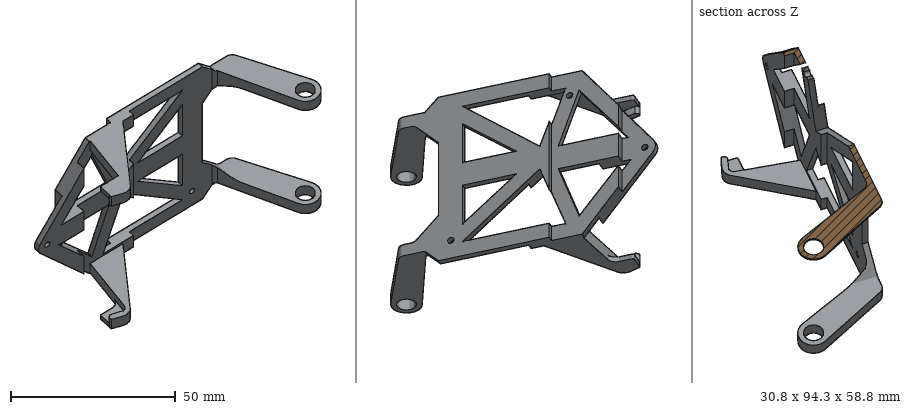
import cadquery as cq
import math

length = 94.3
half_width = 58.8 / 2

sheet = 2.0
nose_back = 5.2
nose_front = 7.2
lower_step = (32.6, 40.1)
nose_step = (10.8, 17.9)

shoulder_y = 68.8
rear_inner_z = 13.1
strut_root_y = 22.6
nose_radius = 3.5
nose_center = (nose_radius, -0.8)
pin_hole_d = 2.0
pin_holes = [nose_center, (26.8, 21.4), (64.8, -23.0)]

lug_inner_z = 20.9
lug_outer_z = 25.0
eye_d = 6.0
eye_radius = 4.8
eye_center = (30.8 - eye_radius, length - eye_radius)
lug_heel_y = 81.7
lug_heel_fillet = 2.8
lug_root_y = 72.5
lug_root_corner = (2.9, 74.0)
gusset_fillet = 2.8

rail_z = 24.3
spine_half = 4.1
window_rear_y = 60.9
rail_window_front_y = 28.1
rail_window_apex_y = 35.7
rear_window_top_z = 18.0
rear_window_tip_y = 43.4
nose_window_apex = (23.7, 22.6)
nose_window_rear_y = 30.5
upper_nose_tip_y = 9.0
lower_nose_tip_y = 8.0

hook_height = 4.2
lip_thickness = 1.7
hook_end_y = 13.2
hook_end_x = 25.9
hook_root_rear_y = 35.9
hook_root_front_y = 23.0
hook_back_arc = [(27.2, 16.9), (27.2, 19.0), (26.3, 20.4)]
finger_hollow_arc = [(24.5, 19.7), (25.4, 18.6), (25.1, 17.2)]
finger_tip_arc = [(24.2, 14.1), (24.8, 13.3), (hook_end_x, hook_end_y)]
hook_under = (20.6, 20.4)
lip_fillet = 2.9
lip_tip_fillet = 0.4


def tangent_point(point, center, radius, side):
    """Tangent point on a circle seen from an outside point; side is +1 or -1."""
    dx = point[0] - center[0]
    dy = point[1] - center[1]
    angle = math.atan2(dy, dx) + side * math.acos(radius / math.hypot(dx, dy))
    return (center[0] + radius * math.cos(angle), center[1] + radius * math.sin(angle))


def block(x_range, y_range):
    """Full-width block between two X and two Y limits."""
    return (
        cq.Workplane("XY", origin=(0, 0, -half_width))
        .moveTo(x_range[0], y_range[0])
        .lineTo(x_range[1], y_range[0])
        .lineTo(x_range[1], y_range[1])
        .lineTo(x_range[0], y_range[1])
        .close()
        .extrude(2 * half_width)
    )


def lug_profile():
    """Full-width extrusion of the slanted lug, before its width is trimmed."""
    heel = (0, lug_heel_y)
    upper = tangent_point(heel, eye_center, eye_radius, -1)
    lower = tangent_point(lug_root_corner, eye_center, eye_radius, 1)
    axis_angle = math.atan2(eye_center[1] - lug_heel_y, eye_center[0])
    crown = (
        eye_center[0] + eye_radius * math.cos(axis_angle),
        eye_center[1] + eye_radius * math.sin(axis_angle),
    )
    lug = (
        cq.Workplane("XY", origin=(0, 0, -half_width))
        .moveTo(0, lug_root_y)
        .lineTo(*heel)
        .lineTo(*upper)
        .threePointArc(crown, lower)
        .lineTo(*lug_root_corner)
        .lineTo(sheet, lug_root_y)
        .close()
        .extrude(2 * half_width)
    )
    heel_edge = cq.selectors.NearestToPointSelector((*heel, 0))
    lug = lug.edges(heel_edge).fillet(lug_heel_fillet)
    eye = (
        cq.Workplane("XY", origin=(*eye_center, -half_width))
        .circle(eye_d / 2)
        .extrude(2 * half_width)
    )
    return lug.cut(eye)


def outline_prism():
    """Outline of plate and lugs in YZ, extruded over the whole depth in X."""
    upper_root = (strut_root_y, half_width)
    lower_root = (strut_root_y, -half_width)
    upper_nose = tangent_point(upper_root, nose_center, nose_radius, 1)
    lower_nose = tangent_point(lower_root, nose_center, nose_radius, -1)
    shoulder_end_y = shoulder_y + half_width - lug_outer_z
    gusset_end_y = shoulder_y + lug_inner_z - rear_inner_z
    depth = eye_center[0] + eye_radius
    prism = (
        cq.Workplane("YZ")
        .moveTo(*lower_nose)
        .threePointArc((0, nose_center[1]), upper_nose)
        .lineTo(*upper_root)
        .lineTo(shoulder_y, half_width)
        .lineTo(shoulder_end_y, lug_outer_z)
        .lineTo(length, lug_outer_z)
        .lineTo(length, lug_inner_z)
        .lineTo(gusset_end_y, lug_inner_z)
        .lineTo(shoulder_y, rear_inner_z)
        .lineTo(shoulder_y, -rear_inner_z)
        .lineTo(gusset_end_y, -lug_inner_z)
        .lineTo(length, -lug_inner_z)
        .lineTo(length, -lug_outer_z)
        .lineTo(shoulder_end_y, -lug_outer_z)
        .lineTo(shoulder_y, -half_width)
        .lineTo(*lower_root)
        .close()
        .extrude(depth)
    )
    for side in (1, -1):
        corner = (depth / 2, gusset_end_y, side * lug_inner_z)
        prism = prism.edges(cq.selectors.NearestToPointSelector(corner)).fillet(gusset_fillet)
    return prism


def cut_windows(body):
    """Triangular windows between the struts, and the pin holes."""
    for side, nose_tip_y in ((1, upper_nose_tip_y), (-1, lower_nose_tip_y)):
        rail_window = [
            (window_rear_y, rail_z),
            (rail_window_front_y, rail_z),
            (rail_window_apex_y, spine_half),
        ]
        rear_window = [
            (window_rear_y, rear_window_top_z),
            (window_rear_y, spine_half),
            (rear_window_tip_y, spine_half),
        ]
        nose_window = [
            nose_window_apex,
            (nose_window_rear_y, spine_half),
            (nose_tip_y, spine_half),
        ]
        for window in (rail_window, rear_window, nose_window):
            corners = [(y, side * z) for y, z in window]
            body = body.cut(cq.Workplane("YZ").polyline(corners).close().extrude(nose_front))
    holes = cq.Workplane("YZ").pushPoints(pin_holes).circle(pin_hole_d / 2).extrude(nose_front)
    return body.cut(holes)


def hook_layer(bottom_z, height, underside):
    """One layer of a hook; underside draws from the arm root to the hook end."""
    path = cq.Workplane("XY", origin=(0, 0, bottom_z))
    path = path.moveTo(sheet, hook_root_rear_y).lineTo(sheet, hook_root_front_y)
    path = path.lineTo(2 * sheet, hook_root_front_y)
    path = underside(path)
    return (
        path.lineTo(*hook_back_arc[0])
        .threePointArc(*hook_back_arc[1:])
        .lineTo(2 * sheet, hook_root_rear_y)
        .close()
        .extrude(height)
    )


def lip_underside(path):
    """Square lip that closes the hook on its outer side."""
    return path.lineTo(*hook_under).lineTo(hook_under[0], hook_end_y).lineTo(hook_end_x, hook_end_y)


def finger_underside(path):
    """Slim finger with a hollow root and a rounded, slightly barbed tip."""
    return (
        path.lineTo(*finger_hollow_arc[0])
        .threePointArc(*finger_hollow_arc[1:])
        .lineTo(*finger_tip_arc[0])
        .threePointArc(*finger_tip_arc[1:])
    )


def hook(side):
    """Hook on the +Z or -Z edge; only the -Z lip has a filleted root."""
    lip_bottom = half_width - lip_thickness if side > 0 else -half_width
    finger_bottom = half_width - hook_height if side > 0 else -half_width
    lip = hook_layer(lip_bottom, lip_thickness, lip_underside)
    tip = (hook_under[0], hook_end_y, lip_bottom + lip_thickness / 2)
    lip = lip.edges(cq.selectors.NearestToPointSelector(tip)).fillet(lip_tip_fillet)
    if side < 0:
        root = (*hook_under, lip_bottom + lip_thickness / 2)
        lip = lip.edges(cq.selectors.NearestToPointSelector(root)).fillet(lip_fillet)
    return lip.union(hook_layer(finger_bottom, hook_height, finger_underside))


body = (
    block((0, sheet), (lower_step[0], lug_root_y))
    .union(block((sheet, 2 * sheet), (nose_step[0], lower_step[1])))
    .union(block((sheet, nose_front), nose_step))
    .union(block((nose_back, nose_front), (0, nose_step[1])))
    .union(lug_profile())
)
body = cut_windows(body.intersect(outline_prism()))
for side in (1, -1):
    body = body.union(hook(side))
result = body